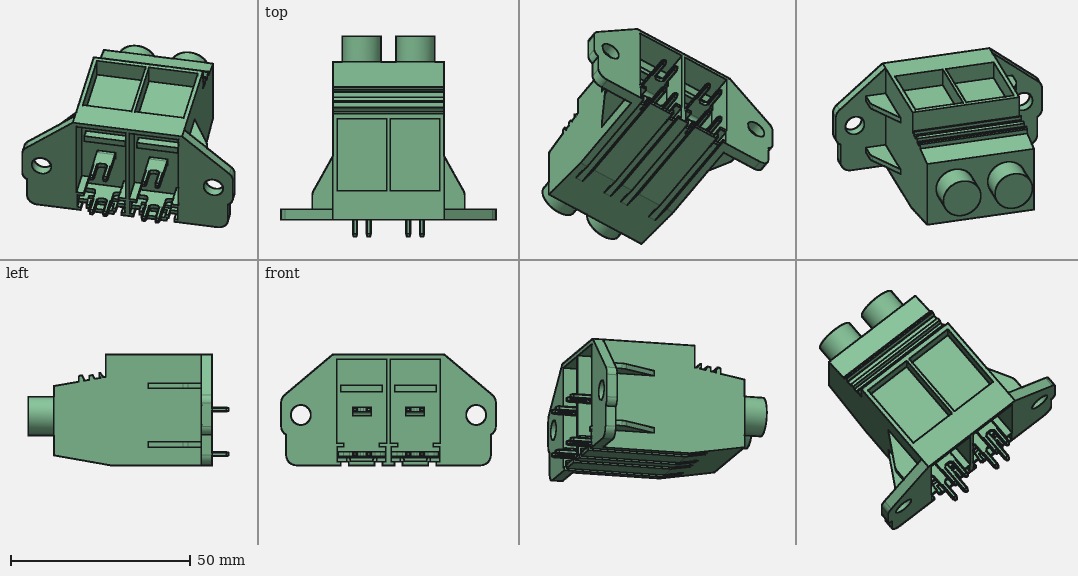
import cadquery as cq
import math


HEIGHT = 31.0
BODY_WIDTH = 31.1
BODY_DEPTH = 44.1
POLE_PITCH = 15.0
POLE_XS = (-POLE_PITCH / 2, POLE_PITCH / 2)
SIDES = (-1, 1)

STEP_Y = 29.65
SLOPE = math.tan(math.radians(10))
REAR_TOP_Z = 22.2
REAR_BOTTOM_Z = 2.8

FLANGE_WIDTH = 60.0
FLANGE_THICKNESS = 3.0
FLANGE_CORNER_Z = 18.85
FLANGE_NOTCH = 1.4
FLANGE_ROUND_Z = 11.0
FLANGE_NOTCH_RADIUS = 2.75
FLANGE_RADIUS = 3.0
MOUNT_HOLE_DIAMETER = 5.5
MOUNT_HOLE_X = 24.45
MOUNT_HOLE_Z = 14.1

GUSSET_REACH = 21.3
GUSSET_CORNER_Y = 7.5
GUSSET_TIP_Y = 17.8
GUSSET_THICKNESS = 1.5
GUSSET_BOTTOM_ZS = (5.1, 21.5)
GUSSET_RADIUS = 3.0

POCKET_LENGTH_X = 13.9
POCKET_FRONT_Y = 8.2
POCKET_REAR_Y = 28.25
POCKET_DEPTH = 5.0
POCKET_OFFSET_X = 7.4

CELL_WIDTH = 14.0
CELL_DEPTH = 7.5
CELL_TOP_Z = 29.65
LOWER_CELL_WIDTH = 13.6
TAB_BOTTOM_Z = 5.2
TAB_TOP_Z = 6.2
TAB_HALF_GAP = 4.95
RAIL_WIDTH = 11.65
RAIL_BOTTOM_Z = 20.6
RAIL_TOP_Z = 22.45
RAIL_FRONT_Y = 5.15

FLOOR_BOTTOM_Z = 1.0
FLOOR_TOP_Z = 2.2
FLOOR_FRONT_Y = 4.1
PAD_FRONT_Y = 2.3
TONGUE_WIDTH = 8.4
TONGUE_DEPTH = 3.05
RECESS_DEPTH = 2.1
RECESS_BOTTOM_Z = 1.15
RECESS_BOTTOM_WIDTH = 6.1
RECESS_TOP_WIDTH = 6.7
SLOT_INNER_X = 3.63
SLOT_OUTER_X = 5.8

PLUG_DIAMETER = 10.9
PLUG_LENGTH = 7.2
PLUG_Z = 13.8

CONTACT_PITCH = 14.85
CONTACT_XS = (-CONTACT_PITCH / 2, CONTACT_PITCH / 2)
CONTACT_THICKNESS = 1.3
CONTACT_WIDTH = 5.15
UPPER_CONTACT_Z = 14.97
LOWER_CONTACT_Z = 2.53
FORK_GAP = 2.5
FORK_END_Y = 1.65
FORK_RADIUS = 0.8
PRONG_LENGTH = 4.7
PRONG_CHAMFER = 0.25
PRONG_ROOT_Y = 1.0
TIP_LENGTH = 0.8
TIP_INSET = 0.27
BEND_INNER_RADIUS = 1.15
WING_WIDTH = 13.3
WING_FRONT_Y = 5.2
WING_RADIUS = 1.5
WING_INNER_RADIUS = 1.0


def box(x_range, y_range, z_range):
    """Box between the given limits."""
    (x0, x1), (y0, y1), (z0, z1) = x_range, y_range, z_range
    return cq.Workplane("XY").box(x1 - x0, y1 - y0, z1 - z0, centered=False).translate((x0, y0, z0))


def span(center, width):
    """Limits of a width placed evenly about a centre."""
    return (center - width / 2, center + width / 2)


def side_prism(points, width):
    """Prism along X, even about x = 0, with the given (y, z) outline."""
    return cq.Workplane("YZ").polyline(points).close().extrude(width / 2, both=True)



def slope_z(y):
    """Height of the sloped rear roof at y."""
    return REAR_TOP_Z + (BODY_DEPTH - y) * SLOPE


def body_block():
    outline = [
        (0, 0),
        (BODY_DEPTH - REAR_BOTTOM_Z / SLOPE, 0),
        (BODY_DEPTH, REAR_BOTTOM_Z),
        (BODY_DEPTH, REAR_TOP_Z),
        (STEP_Y, slope_z(STEP_Y)),
        (STEP_Y, HEIGHT),
        (0, HEIGHT),
    ]
    return side_prism(outline, BODY_WIDTH)


def roof_teeth():
    """Three cross ridges on the sloped roof, outlined in (y, z); their feet reach below it to join."""
    foot = 0.3
    rear_tooth = [
        (37.2, slope_z(37.2) - foot), (37.2, 24.75), (36.85, 25.1),
        (36.3, 25.25), (35.65, 24.0), (36.0, slope_z(36.0) - foot),
    ]
    middle_tooth = [
        (34.25, slope_z(34.25) - foot), (34.25, 25.05),
        (33.3, 25.3), (32.65, slope_z(32.65) - foot),
    ]
    front_tooth = [
        (31.0, slope_z(31.0) - foot), (31.0, slope_z(31.0)), (31.5, 24.8), (31.5, 25.8),
        (31.25, 25.9), (30.25, slope_z(30.25)), (30.25, slope_z(30.25) - foot),
    ]
    teeth = side_prism(rear_tooth, BODY_WIDTH)
    for outline in (middle_tooth, front_tooth):
        teeth = teeth.union(side_prism(outline, BODY_WIDTH))
    return teeth


def flange_wing(side):
    """One ear of the mounting flange, from the centre plane outwards."""
    edge = FLANGE_WIDTH / 2
    notch_x = edge - FLANGE_NOTCH
    arc_x = edge - FLANGE_NOTCH_RADIUS
    notch_angle = math.acos((notch_x - arc_x) / FLANGE_NOTCH_RADIUS)

    def arc_point(angle):
        return (
            arc_x + FLANGE_NOTCH_RADIUS * math.cos(angle),
            FLANGE_ROUND_Z - FLANGE_NOTCH_RADIUS * math.sin(angle),
        )

    wing = (
        cq.Workplane("XZ")
        .moveTo(0, 0)
        .lineTo(0, HEIGHT)
        .lineTo(BODY_WIDTH / 2, HEIGHT)
        .lineTo(edge, FLANGE_CORNER_Z)
        .lineTo(edge, FLANGE_ROUND_Z)
        .threePointArc(arc_point(notch_angle / 2), arc_point(notch_angle))
        .lineTo(notch_x, 0)
        .close()
        .extrude(-FLANGE_THICKNESS)
    )
    for corner_x, corner_z in ((edge, FLANGE_CORNER_Z), (notch_x, 0)):
        corner = cq.selectors.NearestToPointSelector((corner_x, FLANGE_THICKNESS / 2, corner_z))
        wing = wing.edges(corner).fillet(FLANGE_RADIUS)
    hole = (
        cq.Workplane("XZ")
        .center(MOUNT_HOLE_X, MOUNT_HOLE_Z)
        .circle(MOUNT_HOLE_DIAMETER / 2)
        .extrude(-FLANGE_THICKNESS)
    )
    wing = wing.cut(hole)
    return wing if side > 0 else wing.mirror("YZ")


def gusset_pair(bottom_z):
    """Triangular webs on both sides, bracing the flange against the body."""
    outline = [
        (-GUSSET_REACH, 0),
        (-GUSSET_REACH, GUSSET_CORNER_Y),
        (-BODY_WIDTH / 2, GUSSET_TIP_Y),
        (BODY_WIDTH / 2, GUSSET_TIP_Y),
        (GUSSET_REACH, GUSSET_CORNER_Y),
        (GUSSET_REACH, 0),
    ]
    web = cq.Workplane("XY").polyline(outline).close().extrude(GUSSET_THICKNESS)
    for side in SIDES:
        corner = cq.selectors.NearestToPointSelector(
            (side * GUSSET_REACH, GUSSET_CORNER_Y, GUSSET_THICKNESS / 2)
        )
        web = web.edges(corner).fillet(GUSSET_RADIUS)
    return web.translate((0, 0, bottom_z))


def cell_cut(x):
    """Room removed for one pole: the cell with its tabs, rail, pads and tongue left standing."""
    cell_y = (0, CELL_DEPTH)
    room = box(span(x, CELL_WIDTH), cell_y, (TAB_TOP_Z, CELL_TOP_Z))
    room = room.union(box(span(x, 2 * TAB_HALF_GAP), cell_y, (TAB_BOTTOM_Z, TAB_TOP_Z)))
    room = room.union(box(span(x, LOWER_CELL_WIDTH), cell_y, (FLOOR_TOP_Z, TAB_BOTTOM_Z)))
    room = room.cut(
        box(span(x, RAIL_WIDTH), (RAIL_FRONT_Y, CELL_DEPTH), (RAIL_BOTTOM_Z, RAIL_TOP_Z))
    )

    floor_z = (FLOOR_BOTTOM_Z, FLOOR_TOP_Z)
    room = room.union(box(span(x, LOWER_CELL_WIDTH), (0, PAD_FRONT_Y), floor_z))
    room = room.union(box(span(x, TONGUE_WIDTH), (PAD_FRONT_Y, FLOOR_FRONT_Y), floor_z))
    room = room.cut(box(span(x, TONGUE_WIDTH), (0, TONGUE_DEPTH), floor_z))
    recess = (
        cq.Workplane("XZ")
        .polyline([
            (x - RECESS_BOTTOM_WIDTH / 2, RECESS_BOTTOM_Z),
            (x + RECESS_BOTTOM_WIDTH / 2, RECESS_BOTTOM_Z),
            (x + RECESS_TOP_WIDTH / 2, FLOOR_TOP_Z),
            (x - RECESS_TOP_WIDTH / 2, FLOOR_TOP_Z),
        ])
        .close()
        .extrude(-RECESS_DEPTH)
    )
    room = room.union(recess)

    for side in SIDES:
        slot_x = sorted((x + side * SLOT_INNER_X, x + side * SLOT_OUTER_X))
        room = room.union(box(slot_x, (0, BODY_DEPTH), (0, FLOOR_BOTTOM_Z)))
    return room


def make_housing():
    housing = body_block().union(roof_teeth())
    for side in SIDES:
        housing = housing.union(flange_wing(side))
    for bottom_z in GUSSET_BOTTOM_ZS:
        housing = housing.union(gusset_pair(bottom_z))
    for side in SIDES:
        housing = housing.cut(box(
            span(side * POCKET_OFFSET_X, POCKET_LENGTH_X),
            (POCKET_FRONT_Y, POCKET_REAR_Y),
            (HEIGHT - POCKET_DEPTH, HEIGHT),
        ))
    for x in POLE_XS:
        housing = housing.cut(cell_cut(x))
    return housing



def make_plug(x):
    """Round plug standing on the housing's rear face."""
    plug = cq.Workplane("XZ").circle(PLUG_DIAMETER / 2).extrude(-PLUG_LENGTH)
    return plug.translate((x, BODY_DEPTH, PLUG_Z))



def fork_prong(center_x):
    """Chamfered prong with a tapered tip, its underside on z = 0."""
    width = (CONTACT_WIDTH - FORK_GAP) / 2

    def bar(start_y, length, taper):
        section = cq.Sketch().rect(width, CONTACT_THICKNESS).vertices().chamfer(PRONG_CHAMFER)
        return (
            cq.Workplane("XZ", origin=(center_x, start_y, CONTACT_THICKNESS / 2))
            .placeSketch(section)
            .extrude(length, taper=taper)
        )

    tip_start_y = TIP_LENGTH - PRONG_LENGTH
    tip_taper = math.degrees(math.atan(TIP_INSET / TIP_LENGTH))
    shank = bar(PRONG_ROOT_Y, PRONG_ROOT_Y - tip_start_y, 0)
    return shank.union(bar(tip_start_y, TIP_LENGTH, tip_taper))


def add_fork(plate):
    """Cut the fork gap into the plate's front and add the two prongs."""
    gap = box(span(0, FORK_GAP), (0, FORK_END_Y), (0, CONTACT_THICKNESS))
    contact = plate.cut(gap.edges("|Z and >Y").fillet(FORK_RADIUS))
    for side in SIDES:
        contact = contact.union(fork_prong(side * (CONTACT_WIDTH + FORK_GAP) / 4))
    return contact


def make_upper_contact(x):
    """Narrow contact that bends down where it meets the cell's rear wall."""
    bend_y = CELL_DEPTH - BEND_INNER_RADIUS
    outer_radius = BEND_INNER_RADIUS + CONTACT_THICKNESS
    wall_z = math.sqrt(outer_radius ** 2 - BEND_INNER_RADIUS ** 2) - BEND_INNER_RADIUS

    def bend_point(radius, angle):
        return (
            bend_y + radius * math.sin(angle),
            radius * math.cos(angle) - BEND_INNER_RADIUS,
        )

    wall_angle = math.asin(BEND_INNER_RADIUS / outer_radius)
    plate = (
        cq.Workplane("YZ")
        .moveTo(PRONG_ROOT_Y, 0)
        .lineTo(PRONG_ROOT_Y, CONTACT_THICKNESS)
        .lineTo(bend_y, CONTACT_THICKNESS)
        .threePointArc(bend_point(outer_radius, wall_angle / 2), (CELL_DEPTH, wall_z))
        .lineTo(CELL_DEPTH, -BEND_INNER_RADIUS)
        .threePointArc(bend_point(BEND_INNER_RADIUS, math.pi / 4), (bend_y, 0))
        .close()
        .extrude(CONTACT_WIDTH / 2, both=True)
    )
    return add_fork(plate).translate((x, 0, UPPER_CONTACT_Z))


def make_lower_contact(x):
    """Flat contact with a wide root along the cell's rear wall."""
    plate_z = (0, CONTACT_THICKNESS)
    root = box(span(0, WING_WIDTH), (WING_FRONT_Y, CELL_DEPTH), plate_z)
    root = root.edges("|Z and <Y").fillet(WING_RADIUS)
    plate = root.union(box(span(0, CONTACT_WIDTH), (PRONG_ROOT_Y, CELL_DEPTH), plate_z))
    for side in SIDES:
        inner_corner = cq.selectors.NearestToPointSelector(
            (side * CONTACT_WIDTH / 2, WING_FRONT_Y, CONTACT_THICKNESS / 2)
        )
        plate = plate.edges(inner_corner).fillet(WING_INNER_RADIUS)
    return add_fork(plate).translate((x, 0, LOWER_CONTACT_Z))


housing = make_housing()
plugs = [make_plug(x) for x in POLE_XS]
upper_contacts = [make_upper_contact(x) for x in CONTACT_XS]
lower_contacts = [make_lower_contact(x) for x in CONTACT_XS]

result = cq.Compound.makeCompound(
    [body.val() for body in [housing, *plugs, *upper_contacts, *lower_contacts]]
)